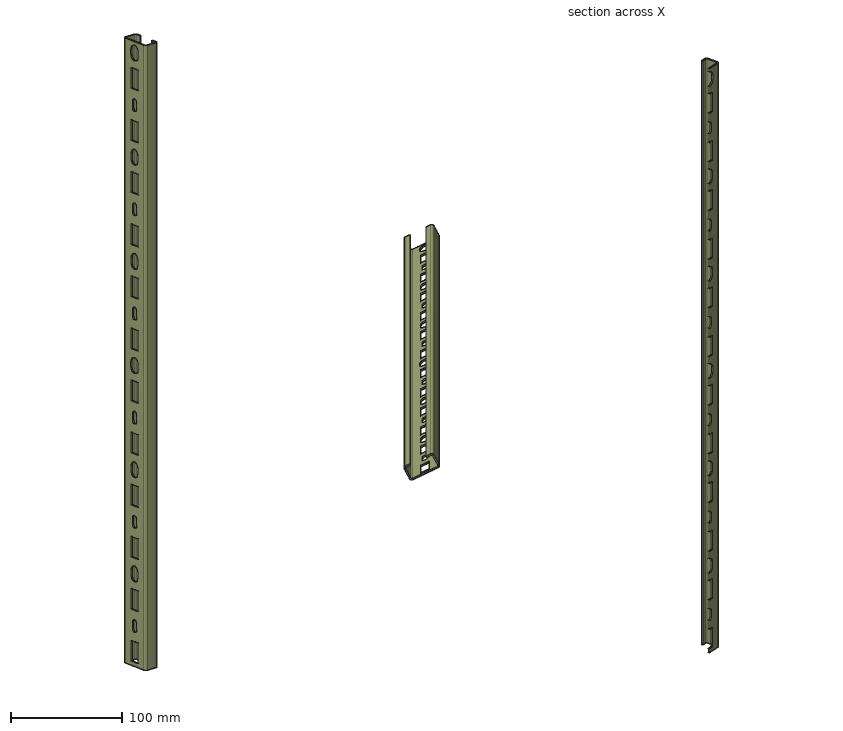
import cadquery as cq

length = 600.0
width = 30.0
depth = 15.0
wall = 1.5
opening = 16.0
bend_radius = 2.5
inner_bend_radius = bend_radius - wall

hole_count = 24
hole_pitch = length / hole_count
first_hole_drop = 0.44 * hole_pitch
rectangle_width = 9.0
rectangle_length = 20.0
large_slot_width = 10.0
large_slot_length = 15.0
medium_slot_width = 9.0
medium_slot_length = 15.0
small_slot_width = 6.0
small_slot_length = 12.0

medium_slot_interval = 4
large_slot_interval = 12


def channel():
    """Bent sheet channel with two inward lips."""
    outer = (
        cq.Workplane("XY").rect(width, depth).extrude(length)
        .edges("|Z").fillet(bend_radius)
    )
    cavity = (
        cq.Workplane("XY").rect(width - 2 * wall, depth - 2 * wall).extrude(length)
        .edges("|Z").fillet(inner_bend_radius)
    )
    mouth = cq.Workplane("XY").center(0, depth / 2).rect(opening, depth).extrude(length)
    return outer.cut(cavity).cut(mouth)


def web_plane(drop):
    """Sketch plane on the inner face of the web, centred on one hole."""
    return cq.Workplane("XZ", origin=(0, -depth / 2 + wall, length - drop))


def rounded_slot(drop, slot_width, slot_length):
    """Cutter for an upright slot with fully round ends."""
    return web_plane(drop).slot2D(slot_length, slot_width, 90).extrude(wall)


def rectangle(drop):
    """Cutter for an upright rectangular opening."""
    return web_plane(drop).rect(rectangle_width, rectangle_length).extrude(wall)


def web_hole(index):
    """Cutter for one hole, its kind set by its place in the row."""
    drop = first_hole_drop + index * hole_pitch
    if index % 2 == 1:
        return rectangle(drop)
    if index % large_slot_interval == 0:
        return rounded_slot(drop, large_slot_width, large_slot_length)
    if index % medium_slot_interval == 0:
        return rounded_slot(drop, medium_slot_width, medium_slot_length)
    return rounded_slot(drop, small_slot_width, small_slot_length)


rail = channel()
for hole_index in range(hole_count):
    rail = rail.cut(web_hole(hole_index))

result = rail.solids()